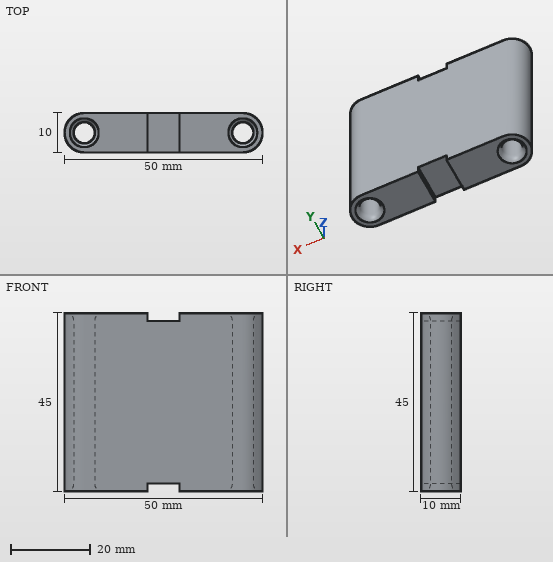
import cadquery as cq
import math

length = 50.0
thickness = 10.0
height = 45.0

notch_width = 8.0
notch_depth = 2.0

hole_diameter = 5.3
mouth_diameter = 7.3
lip_diameter = 6.8
lip_depth = 0.25
flare_radius = 2.5

hole_x = (length - thickness) / 2
half_height = height / 2


def make_plate():
    """Plate with fully rounded sides."""
    return (
        cq.Workplane("XY")
        .slot2D(length, thickness)
        .extrude(half_height, both=True)
    )


def make_notch(end):
    """Rectangular cutter for the notch at the upper (+1) or lower (-1) end."""
    return cq.Workplane("XY").box(notch_width, thickness, 2 * notch_depth).translate(
        (0, 0, end * half_height)
    )


def make_hole():
    """Through-hole cutter with a chamfered lip and a rounded flare at each end."""
    hole_radius = hole_diameter / 2
    mouth_radius = mouth_diameter / 2
    lip_radius = lip_diameter / 2
    lip_z = half_height - lip_depth
    flare_centre = hole_radius + flare_radius
    lip_angle = math.acos((flare_centre - lip_radius) / flare_radius)
    flare_z = lip_z - flare_radius * math.sin(lip_angle)
    middle_radius = flare_centre - flare_radius * math.cos(lip_angle / 2)
    middle_z = flare_z + flare_radius * math.sin(lip_angle / 2)
    return (
        cq.Workplane("XZ")
        .moveTo(0, -half_height)
        .lineTo(mouth_radius, -half_height)
        .lineTo(lip_radius, -lip_z)
        .threePointArc((middle_radius, -middle_z), (hole_radius, -flare_z))
        .lineTo(hole_radius, flare_z)
        .threePointArc((middle_radius, middle_z), (lip_radius, lip_z))
        .lineTo(mouth_radius, half_height)
        .lineTo(0, half_height)
        .close()
        .revolve(360, (0, 0, 0), (0, 1, 0))
    )


result = make_plate()
for end in (-1, 1):
    result = result.cut(make_notch(end))
for side in (-1, 1):
    result = result.cut(make_hole().translate((side * hole_x, 0, 0)))